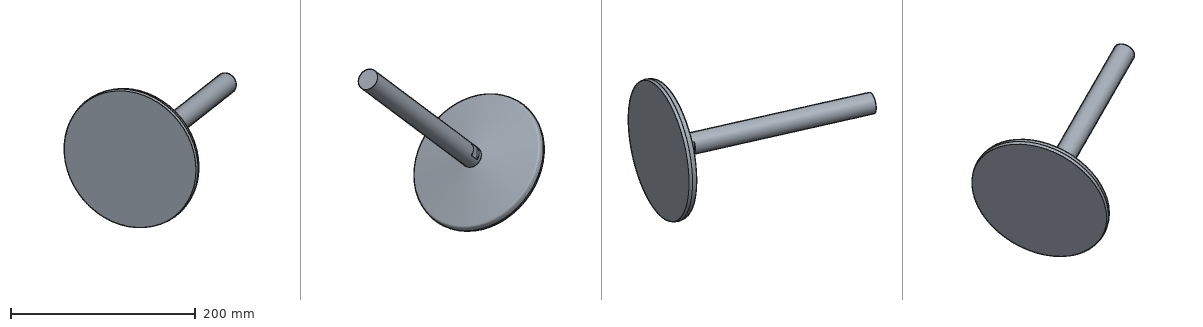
import cadquery as cq

total_length = 254.0
disc_diameter = 158.0
stem_diameter = 24.0

face_diameter = 156.5
rim_edge_y = 3.8
rim_back_diameter = 157.0
rim_back_y = 7.0
cone_base_diameter = 152.5
cone_base_y = 10.2
cone_top_y = 20.8

flats_start_y = 26.0
flats_length = 12.5
across_flats = 19.0


def make_turned_body():
    """Disc, rounded rim, conical back and stem as one revolved profile."""
    rim_taper = ((rim_back_diameter - disc_diameter) / 2, rim_back_y - rim_edge_y)
    profile = (
        cq.Workplane("XY")
        .lineTo(face_diameter / 2, 0)
        .lineTo(disc_diameter / 2, rim_edge_y)
        .lineTo(rim_back_diameter / 2, rim_back_y)
        .spline(
            [(cone_base_diameter / 2, cone_base_y)],
            tangents=[
                rim_taper,
                ((stem_diameter - cone_base_diameter) / 2, cone_top_y - cone_base_y),
            ],
            includeCurrent=True,
        )
        .lineTo(stem_diameter / 2, cone_top_y)
        .lineTo(stem_diameter / 2, total_length)
        .lineTo(0, total_length)
        .close()
    )
    return profile.revolve(360, (0, 0, 0), (0, 1, 0))


def make_flat_cutter(side):
    """Block that removes the stem outside one flat; side is -1 or +1 along X."""
    return (
        cq.Workplane("XY")
        .box(stem_diameter, flats_length, stem_diameter)
        .translate((
            side * (across_flats + stem_diameter) / 2,
            flats_start_y + flats_length / 2,
            0,
        ))
    )


result = make_turned_body()
for side in (-1, 1):
    result = result.cut(make_flat_cutter(side))